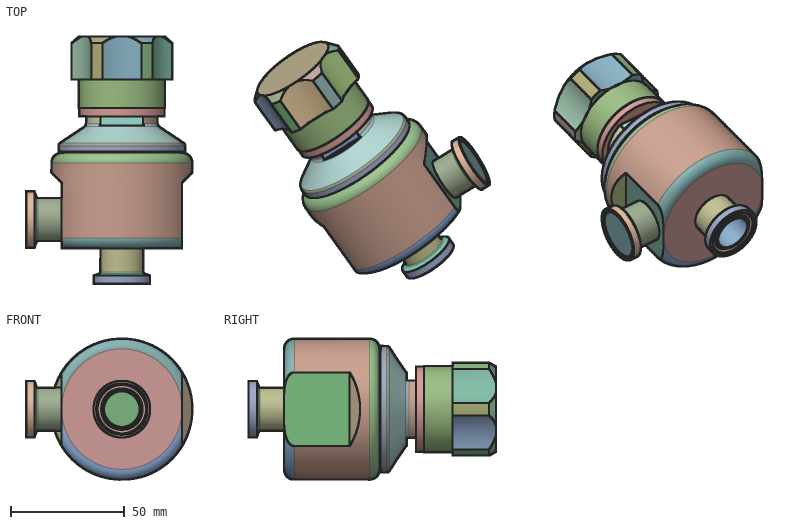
import cadquery as cq
import math


BODY_RADIUS = 31.115
BODY_ROUND = 4.57
BODY_FRONT_Y = -12.7
BODY_BACK_Y = 29.45
FLAT_OFFSET = BODY_RADIUS - BODY_ROUND
FLAT_END_Y = 16.25

GROOVE_RADIUS = 25.9
GROOVE_WIDTH = 0.45
COLLAR_RADIUS = 27.94
COLLAR_BACK_Y = 33.3
COLLAR_ROUND = 1.5
NECK_RADIUS = 15.8
NECK_FRONT_Y = 41.4
NECK_ROUND = 1.7
WRENCH_FLAT_OFFSET = 12.7

SLEEVE_FRONT_Y = 45.4
SLEEVE_STEP_Y = 49.05
SLEEVE_FRONT_RADIUS = 18.85
SLEEVE_RADIUS = 19.05

NUT_FRONT_Y = 61.6
NUT_BACK_Y = 80.72
NUT_RADIUS = 22.25
NUT_CHAMFER_LENGTH = 3.05
NUT_END_RADIUS = 18.85
SCALLOP_COUNT = 6
SCALLOP_HALF_WIDTH = 8.6
SCALLOP_FLOOR = 18.6

PORT_LENGTH = 15.67
TUBE_RADIUS = 9.525
BORE_RADIUS = 7.87
FLANGE_RADIUS = 12.5
FLANGE_RIM = 3.7
FLANGE_BACK_ANGLE = 20
FLANGE_ROUND = 0.6
SEAT_RADIUS = 11.3
SEAT_FLOOR_RADIUS = 10.7
SEAT_DEPTH = 0.4
GASKET_INNER_RADIUS = 9.1
GASKET_DEPTH = 1.4
LIP_ROUND = 0.5

RIM_TOLERANCE = 0.05


def revolve_about_y(profile):
    """Close a (radius, y) profile and revolve it a full turn about Y."""
    return profile.close().revolve(360, (0, 0, 0), (0, 1, 0))


def make_rod(radius, start, end):
    """Plain cylinder on the Y axis."""
    profile = cq.Workplane("XY").moveTo(0, start).lineTo(radius, start).lineTo(radius, end).lineTo(0, end)
    return revolve_about_y(profile)


def round_rim(solid, y, radius):
    """Fillet the full circle that lies at the given y."""
    reach = 2 * BODY_RADIUS
    near = cq.selectors.BoxSelector((-reach, y - RIM_TOLERANCE, -reach), (reach, y + RIM_TOLERANCE, reach))
    return solid.edges(near).edges("%CIRCLE").fillet(radius)


def make_body():
    body = make_rod(BODY_RADIUS, BODY_FRONT_Y, BODY_BACK_Y)
    body = body.edges("%CIRCLE").fillet(BODY_ROUND)
    ramp = 2 * BODY_ROUND
    for side in (-1, 1):
        flat_x = side * FLAT_OFFSET
        outer_x = side * (FLAT_OFFSET + ramp)
        cutter = (
            cq.Workplane("XY")
            .moveTo(flat_x, BODY_FRONT_Y)
            .lineTo(flat_x, FLAT_END_Y)
            .lineTo(outer_x, FLAT_END_Y + ramp)
            .lineTo(outer_x, BODY_FRONT_Y)
            .close()
            .extrude(BODY_RADIUS, both=True)
        )
        body = body.cut(cutter)
    return body


def make_bonnet():
    collar_front_y = BODY_BACK_Y + GROOVE_WIDTH
    bonnet = revolve_about_y(
        cq.Workplane("XY")
        .moveTo(0, BODY_BACK_Y)
        .lineTo(GROOVE_RADIUS, BODY_BACK_Y)
        .lineTo(GROOVE_RADIUS, collar_front_y)
        .lineTo(COLLAR_RADIUS, collar_front_y)
        .lineTo(COLLAR_RADIUS, COLLAR_BACK_Y)
        .lineTo(NECK_RADIUS, NECK_FRONT_Y)
        .lineTo(NECK_RADIUS, SLEEVE_FRONT_Y)
        .lineTo(0, SLEEVE_FRONT_Y)
    )
    bonnet = round_rim(bonnet, COLLAR_BACK_Y, COLLAR_ROUND)
    bonnet = round_rim(bonnet, NECK_FRONT_Y, NECK_ROUND)
    slab_height = NECK_RADIUS
    flat_length = SLEEVE_FRONT_Y - NECK_FRONT_Y
    slab_y = NECK_FRONT_Y + flat_length / 2
    for side in (-1, 1):
        slab_z = side * (WRENCH_FLAT_OFFSET + slab_height / 2)
        slab = cq.Workplane("XY").box(2 * COLLAR_RADIUS, flat_length, slab_height)
        bonnet = bonnet.cut(slab.translate((0, slab_y, slab_z)))
    return bonnet


def make_sleeve():
    front = make_rod(SLEEVE_FRONT_RADIUS, SLEEVE_FRONT_Y, SLEEVE_STEP_Y)
    return front.union(make_rod(SLEEVE_RADIUS, SLEEVE_STEP_Y, NUT_FRONT_Y))


def make_nut():
    nut = revolve_about_y(
        cq.Workplane("XY")
        .moveTo(0, NUT_FRONT_Y)
        .lineTo(NUT_RADIUS, NUT_FRONT_Y)
        .lineTo(NUT_RADIUS, NUT_BACK_Y - NUT_CHAMFER_LENGTH)
        .lineTo(NUT_END_RADIUS, NUT_BACK_Y)
        .lineTo(0, NUT_BACK_Y)
    )
    land_height = math.sqrt(NUT_RADIUS**2 - SCALLOP_HALF_WIDTH**2)
    rise = land_height - SCALLOP_FLOOR
    scallop_radius = (SCALLOP_HALF_WIDTH**2 + rise**2) / (2 * rise)
    scallop = make_rod(scallop_radius, NUT_FRONT_Y, NUT_BACK_Y)
    scallop = scallop.translate((0, 0, SCALLOP_FLOOR + scallop_radius))
    for index in range(SCALLOP_COUNT):
        nut = nut.cut(scallop.rotate((0, 0, 0), (0, 1, 0), index * 360 / SCALLOP_COUNT))
    return nut


def make_port():
    """Clamp ferrule on the Y axis with its flange face at y = 0 and its tube running to +Y."""
    cone_rise = (FLANGE_RADIUS - TUBE_RADIUS) * math.tan(math.radians(FLANGE_BACK_ANGLE))
    cone_end = FLANGE_RIM + cone_rise
    port = revolve_about_y(
        cq.Workplane("XY")
        .lineTo(FLANGE_RADIUS, 0)
        .lineTo(FLANGE_RADIUS, FLANGE_RIM)
        .lineTo(TUBE_RADIUS, cone_end)
        .lineTo(TUBE_RADIUS, PORT_LENGTH)
        .lineTo(0, PORT_LENGTH)
    )
    port = round_rim(port, cone_end, FLANGE_ROUND)
    seat = revolve_about_y(
        cq.Workplane("XY").lineTo(SEAT_RADIUS, 0).lineTo(SEAT_FLOOR_RADIUS, SEAT_DEPTH).lineTo(0, SEAT_DEPTH)
    )
    return port.cut(seat)


def open_port(port):
    """Add the round-bottomed gasket groove and the bore; the lip between them stays at seat depth."""
    groove_middle = (SEAT_FLOOR_RADIUS + GASKET_INNER_RADIUS) / 2
    groove = revolve_about_y(
        cq.Workplane("XY")
        .moveTo(SEAT_FLOOR_RADIUS, SEAT_DEPTH)
        .threePointArc((groove_middle, GASKET_DEPTH), (GASKET_INNER_RADIUS, SEAT_DEPTH + LIP_ROUND))
        .radiusArc((GASKET_INNER_RADIUS - LIP_ROUND, SEAT_DEPTH), -LIP_ROUND)
    )
    return port.cut(groove).cut(make_rod(BORE_RADIUS, 0, PORT_LENGTH))


plain_port = make_port()
front_port = open_port(plain_port).translate((0, BODY_FRONT_Y - PORT_LENGTH, 0))
side_port = plain_port.translate((0, -FLAT_OFFSET - PORT_LENGTH, 0)).rotate((0, 0, 0), (0, 0, 1), -90)

result = make_body()
for piece in (make_bonnet(), make_sleeve(), make_nut(), front_port, side_port):
    result = result.union(piece)